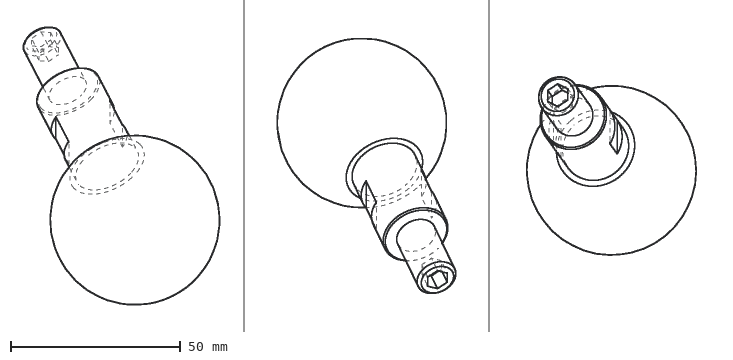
import cadquery as cq
import math

total_length = 99.0
ball_diameter = 50.0
pin_diameter = 12.0
pin_length = 21.0
pin_chamfer = 1.0
collar_diameter = 20.0
collar_length = 31.0
collar_chamfer = 0.5

flat_spacing = 17.0
flat_length = 10.0
flat_setback = 12.0

hex_across_flats = 6.0
hex_depth = 6.0

ball_radius = ball_diameter / 2
ball_center_x = total_length - ball_radius
pin_radius = pin_diameter / 2
collar_radius = collar_diameter / 2
flat_start = pin_length + flat_setback
collar_end = pin_length + collar_length
ball_face_radius = math.sqrt(ball_radius**2 - (ball_center_x - collar_end) ** 2)


def make_body():
    """Revolve the pin, collar and truncated ball about X."""
    profile = (
        cq.Workplane("XY")
        .moveTo(0, 0)
        .lineTo(0, pin_radius - pin_chamfer)
        .lineTo(pin_chamfer, pin_radius)
        .lineTo(pin_length, pin_radius)
        .lineTo(pin_length, collar_radius - collar_chamfer)
        .lineTo(pin_length + collar_chamfer, collar_radius)
        .lineTo(collar_end, collar_radius)
        .lineTo(collar_end, ball_face_radius)
        .threePointArc((ball_center_x, ball_radius), (total_length, 0))
        .close()
    )
    return profile.revolve(360, (0, 0, 0), (1, 0, 0))


def make_flat_cutter(side):
    """Block that removes the collar beyond one flat; side is -1 or 1."""
    cutter_depth = collar_radius
    return cq.Workplane("XY").box(flat_length, cutter_depth, collar_diameter).translate(
        (flat_start + flat_length / 2, side * (flat_spacing + cutter_depth) / 2, 0)
    )


def make_hex_socket():
    """Hexagonal prism with two corners on the Z direction."""
    across_corners = hex_across_flats / math.cos(math.pi / 6)
    return (
        cq.Workplane("YZ")
        .transformed(rotate=(0, 0, 90))
        .polygon(6, across_corners)
        .extrude(hex_depth)
    )


result = make_body()
for side in (-1, 1):
    result = result.cut(make_flat_cutter(side))
result = result.cut(make_hex_socket())